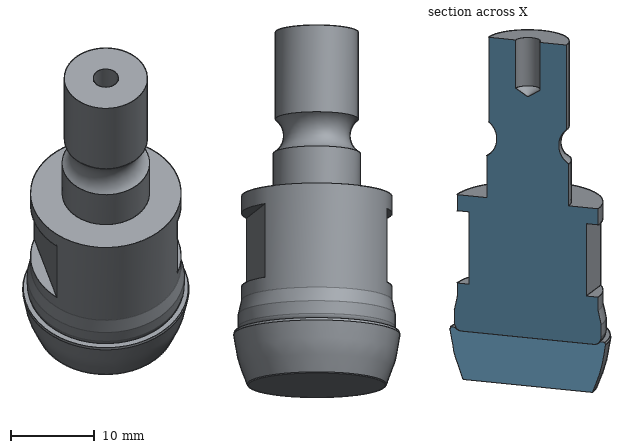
import cadquery as cq
import math

overall_height = 42.95
rim_z = 6.15
ledge_z = 6.45
band_bottom_z = 7.05
band_top_z = 8.6
barrel_bottom_z = 10.3
barrel_top_z = 22.98
collar_top_z = 28.18
shank_bottom_z = 32.4

nose_tip_radius = 8.35
nose_mid_radius = 9.4
rim_radius = 9.95
ledge_radius = 9.88
tip_chamfer = 0.15

band_radius = 9.4
barrel_radius = 9.0
collar_radius = 5.25
neck_radius = 4.0
shank_radius = 5.0

foot_round = 1.0
foot_z = band_bottom_z - foot_round

flat_distance = 15.0
flat_bottom_z = 12.0
flat_top_z = 20.9

hole_radius = 1.5
hole_depth = 6.0
drill_point_angle = 118.0


def revolve_about_z(profile):
    """Turn a closed radius-height profile about the Z axis."""
    return profile.close().revolve(360, (0, 0, 0), (0, 1, 0))


def make_nose(housing):
    """Tapered nose with a bulging side, a narrow rim and a seat for the housing foot."""
    side_mid_z = (tip_chamfer + rim_z) / 2
    profile = (
        cq.Workplane("XZ")
        .moveTo(0, 0)
        .lineTo(nose_tip_radius - tip_chamfer, 0)
        .lineTo(nose_tip_radius, tip_chamfer)
        .threePointArc((nose_mid_radius, side_mid_z), (rim_radius, rim_z))
        .lineTo(ledge_radius, ledge_z)
        .lineTo(0, ledge_z)
    )
    return revolve_about_z(profile).cut(housing)


def make_turned_housing():
    """Barrel, collar, waisted neck and shank, with the foot sunk into the nose."""
    neck_mid_z = (collar_top_z + shank_bottom_z) / 2
    profile = (
        cq.Workplane("XZ")
        .moveTo(0, foot_z)
        .lineTo(band_radius - foot_round, foot_z)
        .radiusArc((band_radius, band_bottom_z), -foot_round)
        .lineTo(band_radius, band_top_z)
        .lineTo(barrel_radius, barrel_bottom_z)
        .lineTo(barrel_radius, barrel_top_z)
        .lineTo(collar_radius, barrel_top_z)
        .lineTo(collar_radius, collar_top_z)
        .threePointArc((neck_radius, neck_mid_z), (shank_radius, shank_bottom_z))
        .lineTo(shank_radius, overall_height)
        .lineTo(0, overall_height)
    )
    return revolve_about_z(profile)


def make_flat_cutter(side):
    """Block that cuts one wrench flat; side is -1 for -Y and 1 for +Y."""
    depth = barrel_radius
    center_y = side * (flat_distance + depth) / 2
    center_z = (flat_top_z + flat_bottom_z) / 2
    block = cq.Workplane("XY").box(2 * barrel_radius, depth, flat_top_z - flat_bottom_z)
    return block.translate((0, center_y, center_z))


def make_hole_cutter():
    """Drill shape: a cylinder ending in a cone."""
    point_depth = hole_radius / math.tan(math.radians(drill_point_angle / 2))
    shoulder_z = overall_height - hole_depth
    profile = (
        cq.Workplane("XZ")
        .moveTo(0, shoulder_z - point_depth)
        .lineTo(hole_radius, shoulder_z)
        .lineTo(hole_radius, overall_height)
        .lineTo(0, overall_height)
    )
    return revolve_about_z(profile)


def make_housing():
    """Turned housing with two opposite wrench flats and a drilled shank."""
    housing = make_turned_housing()
    for side in (-1, 1):
        housing = housing.cut(make_flat_cutter(side))
    return housing.cut(make_hole_cutter())


housing = make_housing()
nose = make_nose(housing)
result = cq.Compound.makeCompound([nose.val(), housing.val()])